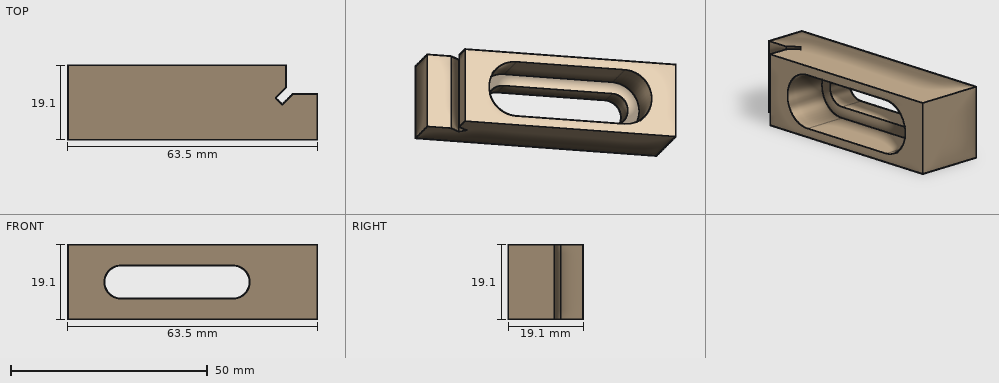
import cadquery as cq
import math

LENGTH = 63.5
DEPTH = 19.05
HEIGHT = 19.05

REBATE_LENGTH = 7.94
REBATE_DEPTH = 7.34

GROOVE_WIDTH = 2.38
GROOVE_DEPTH = 2.6

SLOT_WIDTH = 8.33
SLOT_CENTRE_DISTANCE = 28.575
SLOT_LEFT_CENTRE_X = 13.5
SLOT_FLOOR_THICKNESS = 6.8

COUNTERBORE_WIDTH = 14.29


def make_block():
    """Plain block with its front, left, bottom corner at the origin."""
    return cq.Workplane("XY").box(LENGTH, DEPTH, HEIGHT, centered=False)


def make_rebate():
    """Full-height corner cut with a diagonal relief groove at its inner corner."""
    corner_x = LENGTH - REBATE_LENGTH
    corner_y = DEPTH - REBATE_DEPTH
    mouth = GROOVE_WIDTH / math.sqrt(2)
    half_floor = mouth / 2
    reach = GROOVE_DEPTH / math.sqrt(2)
    outline = [
        (LENGTH, DEPTH),
        (corner_x, DEPTH),
        (corner_x, corner_y + mouth),
        (corner_x - reach - half_floor, corner_y - reach + half_floor),
        (corner_x - reach + half_floor, corner_y - reach - half_floor),
        (corner_x + mouth, corner_y),
        (LENGTH, corner_y),
    ]
    return cq.Workplane("XY").polyline(outline).close().extrude(HEIGHT)


def make_slot(width, front_y):
    """Round-ended slot volume running from front_y out through the rear face."""
    centre_x = SLOT_LEFT_CENTRE_X + SLOT_CENTRE_DISTANCE / 2
    return (
        cq.Workplane("XZ", origin=(centre_x, front_y, HEIGHT / 2))
        .slot2D(SLOT_CENTRE_DISTANCE + width, width)
        .extrude(front_y - DEPTH)
    )


through_slot = make_slot(SLOT_WIDTH, 0)
counterbore = make_slot(COUNTERBORE_WIDTH, SLOT_FLOOR_THICKNESS)

result = make_block().cut(make_rebate()).cut(through_slot).cut(counterbore)